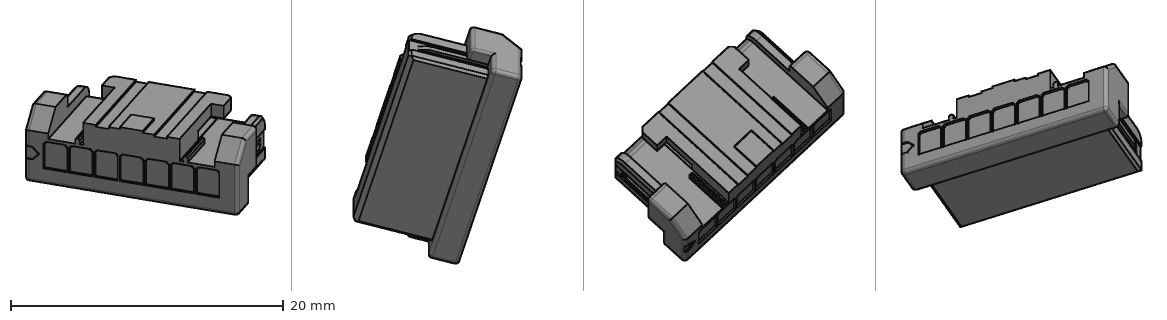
import math

import cadquery as cq


LENGTH_X = 16.8
DEPTH_Y = 8.4
HEIGHT_Z = 5.7

FLANGE_FOOT_DEPTH = 2.35
FLANGE_STEP_Z = 2.3
EAR_DEPTH = 3.97
EAR_CHAMFER = 1.5
FLANGE_FILLET = 0.3
EAR_UNDERSIDE_FILLET = 0.2

BODY_HALF_WIDTH = 7.37
BODY_BOTTOM_Z = 0.7
BODY_START_Y = 1.0
RIM_TOP_Z = 4.6
RIM_END_RADIUS = 1.0
BODY_SIDE_CHAMFER = 0.21
BODY_END_CHAMFER = 0.4

TROUGH_HALF_WIDTH = 6.55
FLOOR_Z = 3.75
FLOOR_END_CHAMFER = 0.32
FLOOR_ROUND_RADIUS = 0.5

CHANNEL_BOTTOM_Z = 1.78
CHANNEL_TOP_Z = 3.3
CHANNEL_DEPTH = 0.14
KEY_HALF_WIDTH = 7.43
KEY_BOTTOM_Z = 2.27
KEY_TOP_Z = 2.78
KEY_RAMP_START_Y = 7.66
KEY_RAMP_END_Y = 6.82

ARM_HALF_WIDTH = 3.8
ARM_TOP_Z = 5.55
ARM_BOTTOM_Z = 4.5
ARM_BLOCK_DEPTH = 3.8
ARM_END_Y = 8.23
FLOOR_PAD_TOP_Z = 3.8
FLOOR_PAD_END_Y = 7.7
HEAD_HALF_WIDTH = 4.8
HEAD_START_Y = 6.42
HEAD_CORNER_CHAMFER = 0.3
HEAD_UNDER_CHAMFER = 0.4
GROOVE_INNER_X = 1.8
GROOVE_OUTER_X = 2.8
GROOVE_DEPTH = 0.15
THUMB_PAD_WIDTH = 1.8
THUMB_PAD_DEPTH = 2.3

RIB_CENTRE_X = 4.25
RIB_WIDTH = 0.38
RIB_TOP_Z = 4.2
RIB_DEPTH = 3.47
RIB_CHAMFER = 0.12

WINDOW_COUNT = 7
WINDOW_PITCH = 2.0
WINDOW_WIDTH = 1.86
WINDOW_BOTTOM_Z = 1.29
WINDOW_TOP_Z = 3.49
WINDOW_CORNER = 0.2
WINDOW_DEPTH = 0.15
WINDOW_WALL_INSET = 0.05

ARROW_SHOULDER_X = -7.8
ARROW_TIP_X = -7.3
ARROW_Z = 2.38
ARROW_HALF_HEIGHT = 0.51
ARROW_DEPTH = 0.12


def box(x_min, x_max, y_min, y_max, z_min, z_max):
    """Axis-aligned block between the given limits."""
    size = (x_max - x_min, y_max - y_min, z_max - z_min)
    return cq.Workplane("XY").box(*size, centered=False).translate((x_min, y_min, z_min))


def centred_box(half_width, y_min, y_max, z_min, z_max):
    """Block symmetric about X = 0."""
    return box(-half_width, half_width, y_min, y_max, z_min, z_max)


def both_sides(solid):
    """The solid together with its mirror image across X = 0."""
    return solid.union(solid.mirror("YZ"))


def make_foot():
    """Lower part of the flange; its plain top end lies inside the upper part."""
    top_z = FLANGE_STEP_Z + 2 * EAR_UNDERSIDE_FILLET
    foot = centred_box(LENGTH_X / 2, 0, FLANGE_FOOT_DEPTH, 0, top_z)
    rounded_edges = foot.edges("|Z").add(foot.faces("<Z").edges())
    return foot.newObject(rounded_edges.vals()).fillet(FLANGE_FILLET)


def make_ears():
    """Upper part of the flange, overhanging the foot, with a sloping upper front face."""
    profile = [
        (0, FLANGE_STEP_Z),
        (EAR_DEPTH, FLANGE_STEP_Z),
        (EAR_DEPTH, HEIGHT_Z),
        (EAR_CHAMFER, HEIGHT_Z),
        (0, HEIGHT_Z - EAR_CHAMFER),
    ]
    ears = cq.Workplane("YZ").polyline(profile).close().extrude(LENGTH_X / 2, both=True)
    end_edges = ears.faces("<X or >X").edges("not(<Z)").vals()
    top_rear_edge = ears.faces(">Z").edges(">Y").vals()
    ears = ears.newObject(end_edges + top_rear_edge).fillet(FLANGE_FILLET)
    return ears.faces("<Z").edges().fillet(EAR_UNDERSIDE_FILLET)


def make_body():
    body = (
        cq.Workplane("YZ")
        .moveTo(BODY_START_Y, BODY_BOTTOM_Z)
        .lineTo(DEPTH_Y, BODY_BOTTOM_Z)
        .lineTo(DEPTH_Y, RIM_TOP_Z - RIM_END_RADIUS)
        .radiusArc((DEPTH_Y - RIM_END_RADIUS, RIM_TOP_Z), -RIM_END_RADIUS)
        .lineTo(BODY_START_Y, RIM_TOP_Z)
        .close()
        .extrude(BODY_HALF_WIDTH, both=True)
    )
    body = body.faces("<X or >X").edges().chamfer(BODY_SIDE_CHAMFER)
    end_corner = (
        cq.Workplane("YZ")
        .polyline([
            (DEPTH_Y - BODY_END_CHAMFER, BODY_BOTTOM_Z),
            (DEPTH_Y, BODY_BOTTOM_Z),
            (DEPTH_Y, BODY_BOTTOM_Z + BODY_END_CHAMFER),
        ])
        .close()
        .extrude(BODY_HALF_WIDTH, both=True)
    )
    return body.cut(end_corner)


def make_side_channel():
    return box(
        BODY_HALF_WIDTH - CHANNEL_DEPTH, BODY_HALF_WIDTH,
        BODY_START_Y, DEPTH_Y,
        CHANNEL_BOTTOM_Z, CHANNEL_TOP_Z,
    )


def make_key():
    root_x = BODY_HALF_WIDTH - CHANNEL_DEPTH
    return (
        cq.Workplane("XY", origin=(0, 0, KEY_BOTTOM_Z))
        .polyline([
            (root_x, BODY_START_Y),
            (KEY_HALF_WIDTH, BODY_START_Y),
            (KEY_HALF_WIDTH, KEY_RAMP_END_Y),
            (root_x, KEY_RAMP_START_Y),
        ])
        .close()
        .extrude(KEY_TOP_Z - KEY_BOTTOM_Z)
    )


def make_trough():
    """Space above the floor, whose far end rolls over into a 45 degree chamfer."""
    chamfer_start_y = DEPTH_Y - FLOOR_END_CHAMFER
    round_start_y = chamfer_start_y - FLOOR_ROUND_RADIUS * math.sin(math.pi / 4)
    chamfer_start_z = FLOOR_Z - FLOOR_ROUND_RADIUS * (1 - math.cos(math.pi / 4))
    return (
        cq.Workplane("YZ")
        .moveTo(0, FLOOR_Z)
        .lineTo(round_start_y, FLOOR_Z)
        .radiusArc((chamfer_start_y, chamfer_start_z), FLOOR_ROUND_RADIUS)
        .lineTo(DEPTH_Y, chamfer_start_z - FLOOR_END_CHAMFER)
        .lineTo(DEPTH_Y, HEIGHT_Z)
        .lineTo(0, HEIGHT_Z)
        .close()
        .extrude(TROUGH_HALF_WIDTH, both=True)
    )


def make_latch():
    arm = centred_box(ARM_HALF_WIDTH, 0, ARM_END_Y, ARM_BOTTOM_Z, ARM_TOP_Z)
    head = centred_box(HEAD_HALF_WIDTH, HEAD_START_Y, ARM_END_Y, ARM_BOTTOM_Z, ARM_TOP_Z)
    head = head.faces(">Y").edges("|Z").chamfer(HEAD_CORNER_CHAMFER)
    under_corner = (
        cq.Workplane("YZ")
        .polyline([
            (ARM_END_Y - HEAD_UNDER_CHAMFER, ARM_BOTTOM_Z),
            (ARM_END_Y, ARM_BOTTOM_Z),
            (ARM_END_Y, ARM_BOTTOM_Z + HEAD_UNDER_CHAMFER),
        ])
        .close()
        .extrude(HEAD_HALF_WIDTH, both=True)
    )
    groove = box(
        GROOVE_INNER_X, GROOVE_OUTER_X,
        0, ARM_END_Y,
        ARM_TOP_Z - GROOVE_DEPTH, ARM_TOP_Z,
    )
    block = centred_box(ARM_HALF_WIDTH, 0, ARM_BLOCK_DEPTH, FLOOR_Z, ARM_BOTTOM_Z)
    thumb_pad = centred_box(THUMB_PAD_WIDTH / 2, 0, THUMB_PAD_DEPTH, ARM_TOP_Z, HEIGHT_Z)
    latch = arm.union(head).cut(under_corner).cut(both_sides(groove))
    return latch.union(block).union(thumb_pad)


def make_floor_pad():
    """Slightly raised floor beneath the free part of the latch arm."""
    return centred_box(ARM_HALF_WIDTH, ARM_BLOCK_DEPTH, FLOOR_PAD_END_Y, FLOOR_Z, FLOOR_PAD_TOP_Z)


def make_rib():
    rib = box(
        RIB_CENTRE_X - RIB_WIDTH / 2, RIB_CENTRE_X + RIB_WIDTH / 2,
        0, RIB_DEPTH,
        FLOOR_Z, RIB_TOP_Z,
    )
    return rib.faces(">Z").edges("|Y").chamfer(RIB_CHAMFER)


def make_window(centre_x):
    """Shallow recess with tapered walls and clipped upper corners."""
    half_width = WINDOW_WIDTH / 2
    taper = math.degrees(math.atan2(WINDOW_WALL_INSET, WINDOW_DEPTH))
    return (
        cq.Workplane("XZ")
        .polyline([
            (centre_x - half_width, WINDOW_BOTTOM_Z),
            (centre_x + half_width, WINDOW_BOTTOM_Z),
            (centre_x + half_width, WINDOW_TOP_Z - WINDOW_CORNER),
            (centre_x + half_width - WINDOW_CORNER, WINDOW_TOP_Z),
            (centre_x - half_width + WINDOW_CORNER, WINDOW_TOP_Z),
            (centre_x - half_width, WINDOW_TOP_Z - WINDOW_CORNER),
        ])
        .close()
        .extrude(-WINDOW_DEPTH, taper=taper)
    )


def make_arrow():
    return (
        cq.Workplane("XZ")
        .polyline([
            (-LENGTH_X / 2, ARROW_Z - ARROW_HALF_HEIGHT),
            (ARROW_SHOULDER_X, ARROW_Z - ARROW_HALF_HEIGHT),
            (ARROW_TIP_X, ARROW_Z),
            (ARROW_SHOULDER_X, ARROW_Z + ARROW_HALF_HEIGHT),
            (-LENGTH_X / 2, ARROW_Z + ARROW_HALF_HEIGHT),
        ])
        .close()
        .extrude(-ARROW_DEPTH)
    )


body = make_body().cut(both_sides(make_side_channel())).union(both_sides(make_key()))
flange = make_foot().union(make_ears())
housing = flange.union(body).cut(make_trough())
housing = housing.union(make_latch()).union(make_floor_pad()).union(both_sides(make_rib()))

for index in range(WINDOW_COUNT):
    window_x = (index - (WINDOW_COUNT - 1) / 2) * WINDOW_PITCH
    housing = housing.cut(make_window(window_x))

result = housing.cut(make_arrow())